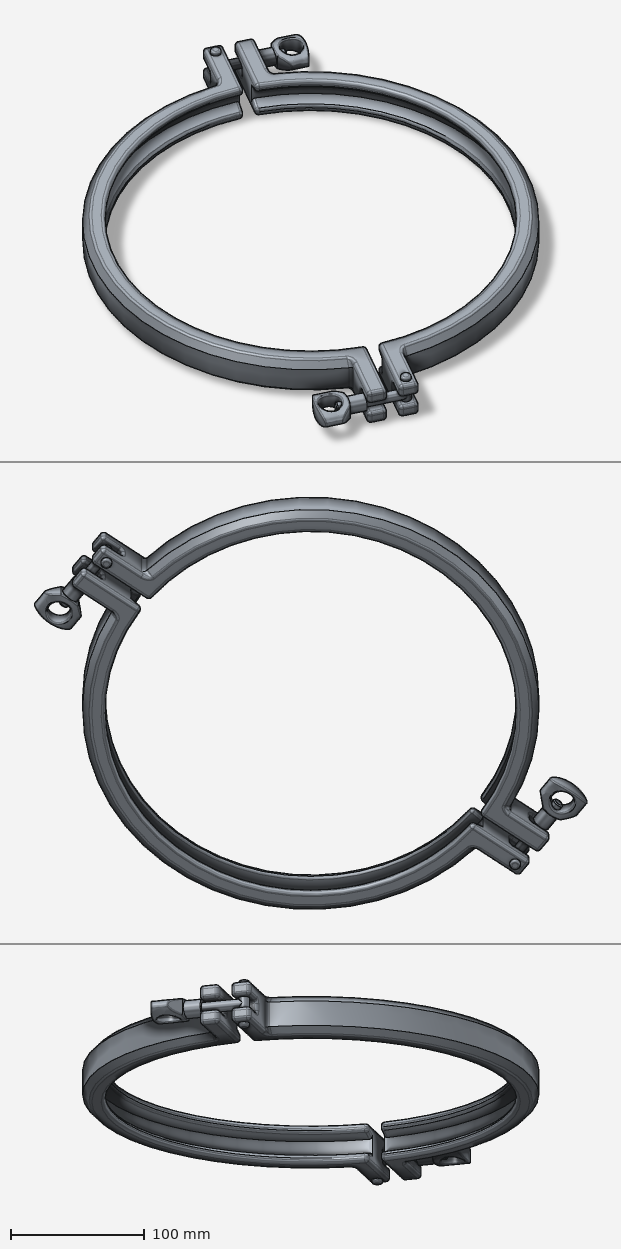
import cadquery as cq
import math

ring_outer_radius = 341.68 / 2
ring_inner_radius = 153.9
body_height = 30.48
outer_band_height = 19.2
bevel = (body_height - outer_band_height) / 2
edge_round = 3.05

groove_mouth_half = 9.0
groove_floor_radius = 164.0
groove_flank_slope = math.tan(math.radians(20))
groove_lip_round = 2.54
groove_overrun = 10.0

half_gap = 4.76
lug_thickness = 15.28
lug_outer_y = half_gap + lug_thickness
lug_end_x = 208.5
lug_root_x = 160.0

slot_width = 9.4
slot_bottom_x = 190.2
slot_corner_radius = 2.0
slot_mouth_round = 2.54

pin_x = 199.6
pin_y = half_gap + lug_thickness / 2
pin_diameter = 8.26
pin_length = 36.58
pin_end_round = 1.9
shank_diameter = pin_diameter
shank_tip_y = 42.6
shank_tip_chamfer = 1.0
collar_diameter = 13.72
collar_end_y = 36.0
eye_diameter = 17.91
eye_y = 47.0
wing_half_width = 433.7 / 2 - pin_x
wing_height = 14.6
wing_crown_y = 58.5
wing_shoulder_y = 55.4
wing_waist_y = 42.3
wing_neck_half_width = 8.0
wing_neck_y = 33.6
wing_base_y = 32.6
wing_round = 1.0

margin = 0.1


def edges_between(corner_a, corner_b):
    """Selector for edges whose centres lie between two corners, margin included."""
    low = [min(a, b) - margin for a, b in zip(corner_a, corner_b)]
    high = [max(a, b) + margin for a, b in zip(corner_a, corner_b)]
    return cq.selectors.BoxSelector(low, high)


def revolved(points):
    """Solid of revolution about Z from (radius, z) points."""
    return cq.Workplane("XZ").polyline(points).close().revolve(360, (0, 0), (0, 1))


def cylinder_along_z(diameter, length, y=0):
    """Cylinder parallel to Z, centred on Z = 0."""
    return cq.Workplane("XY", origin=(0, y, -length / 2)).circle(diameter / 2).extrude(length)


def cylinder_along_y(diameter, start, end):
    return cq.Workplane("XZ", origin=(0, start, 0)).circle(diameter / 2).extrude(start - end)


def make_sharp_half():
    """Half ring on the +Y side with a lug at each end, all edges still sharp."""
    top = body_height / 2
    band = outer_band_height / 2
    half = revolved([
        (ring_inner_radius, -top),
        (ring_outer_radius - bevel, -top),
        (ring_outer_radius, -band),
        (ring_outer_radius, band),
        (ring_outer_radius - bevel, top),
        (ring_inner_radius, top),
    ])
    kept_side = cq.Workplane("XY", origin=(0, half_gap, 0)).box(
        2 * ring_outer_radius, ring_outer_radius, body_height, centered=(True, False, True)
    )
    half = half.intersect(kept_side)
    lug_length = lug_end_x - lug_root_x
    for side in (-1, 1):
        lug_center = (side * (lug_root_x + lug_length / 2), pin_y, 0)
        half = half.union(cq.Workplane("XY", origin=lug_center).box(lug_length, lug_thickness, body_height))
    return half


def round_outside(half):
    """Round the lug root corners, the upright corners and then the top and bottom outlines."""
    top = body_height / 2 - 2 * margin
    lug_roots = edges_between((-ring_outer_radius, lug_outer_y, -top), (ring_outer_radius, lug_outer_y, top))
    inner_corners = edges_between((-lug_root_x, half_gap, -top), (lug_root_x, half_gap, top))
    half = half.edges(lug_roots).edges("not(|X)").fillet(edge_round)
    half = half.edges("|Z and (<X or >X)").fillet(edge_round)
    half = half.edges(inner_corners).edges("|Z").fillet(edge_round)
    return half.edges("<Z or >Z").fillet(edge_round)


def cut_groove(half):
    start_radius = ring_inner_radius - groove_overrun
    start_half = groove_mouth_half + groove_overrun * groove_flank_slope
    floor_half = groove_mouth_half - (groove_floor_radius - ring_inner_radius) * groove_flank_slope
    groove = revolved([
        (start_radius, -start_half),
        (groove_floor_radius, -floor_half),
        (groove_floor_radius, floor_half),
        (start_radius, start_half),
    ])
    half = half.cut(groove)
    lips = edges_between((0, 0, -groove_mouth_half), (0, ring_inner_radius, groove_mouth_half))
    return half.edges(lips).edges(cq.selectors.RadiusNthSelector(0)).fillet(groove_lip_round)


def cut_slot(half, side):
    """Cut the bolt slot through one lug and round its mouth all the way round."""
    slot = (
        cq.Workplane("XY", origin=(side * lug_end_x, pin_y, 0))
        .box(2 * (lug_end_x - slot_bottom_x), 2 * lug_thickness, slot_width)
        .edges("|Y")
        .fillet(slot_corner_radius)
    )
    mouth = edges_between(
        (side * slot_bottom_x, half_gap, -slot_width / 2),
        (side * lug_end_x, lug_outer_y, slot_width / 2),
    )
    return half.cut(slot).edges(mouth).edges("not(|Y)").fillet(slot_mouth_round)


def make_clamp_half():
    half = cut_groove(round_outside(make_sharp_half()))
    for side in (-1, 1):
        half = cut_slot(half, side)
    pin_hole = cylinder_along_z(pin_diameter, pin_length, pin_y).translate((pin_x, 0, 0))
    return half.cut(pin_hole)


def make_pin():
    """Pivot pin along Z with rounded ends."""
    return cylinder_along_z(pin_diameter, pin_length).edges("%CIRCLE").fillet(pin_end_round)


def make_wing():
    """Wing with an elliptical cross section and a round eye through it along Z."""
    outline = (
        cq.Workplane("XY", origin=(0, 0, -wing_height / 2))
        .moveTo(-wing_neck_half_width, wing_neck_y)
        .lineTo(-wing_half_width, wing_waist_y)
        .lineTo(-wing_half_width, wing_shoulder_y)
        .threePointArc((0, wing_crown_y), (wing_half_width, wing_shoulder_y))
        .lineTo(wing_half_width, wing_waist_y)
        .lineTo(wing_neck_half_width, wing_neck_y)
        .threePointArc((0, wing_base_y), (-wing_neck_half_width, wing_neck_y))
        .close()
        .extrude(wing_height)
    )
    section = cq.Workplane("XZ").ellipse(wing_half_width, wing_height / 2).extrude(-2 * wing_crown_y)
    wing = outline.intersect(section).edges("not(|Z or |Y)").fillet(wing_round)
    wing = wing.cut(cylinder_along_z(eye_diameter, 2 * wing_height, eye_y))
    eye_rims = edges_between((0, eye_y, -wing_height), (0, eye_y, wing_height))
    return wing.edges(eye_rims).fillet(wing_round)


def make_swing_bolt():
    """Bolt for the -X side: pin in the -Y half, wing nut seated on the +Y half."""
    collar = cylinder_along_y(collar_diameter, lug_outer_y, collar_end_y)
    shank = cylinder_along_y(shank_diameter, -pin_y, shank_tip_y).faces(">Y").chamfer(shank_tip_chamfer)
    bolt = make_wing().union(collar).union(shank).union(make_pin().translate((0, -pin_y, 0)))
    return bolt.translate((-pin_x, 0, 0))


clamp_half = make_clamp_half()
swing_bolt = make_swing_bolt()
bodies = []
for turn in (0, 180):
    for body in (clamp_half, swing_bolt):
        bodies.append(body.rotate((0, 0, 0), (0, 0, 1), turn).val())

result = cq.Compound.makeCompound(bodies)